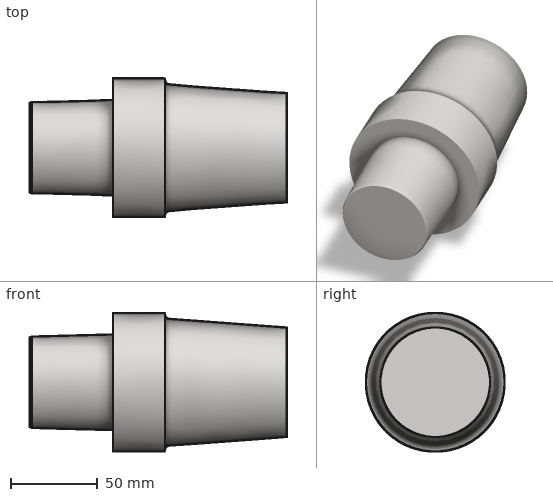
import cadquery as cq

total_length = 148.0
spigot_length = 48.0
spigot_land_length = 1.8
collar_length = 30.0
collar_end = spigot_length + collar_length
spigot_taper_end = spigot_length - spigot_land_length

spigot_tip_radius = 26.3
spigot_root_radius = 27.5
collar_radius = 40.0
nose_root_radius = 36.7
nose_tip_radius = 31.5

tip_chamfer_length = 1.5
tip_chamfer_depth = 0.7
collar_edge_fillet = 1.2
nose_root_fillet = 2.0

tolerance = 0.01


def turned_body():
    """Tapered spigot, collar and tapered nose, revolved about the X axis."""
    profile = (
        cq.Workplane("XZ")
        .moveTo(0, 0)
        .lineTo(0, spigot_tip_radius - tip_chamfer_depth)
        .lineTo(tip_chamfer_length, spigot_tip_radius)
        .lineTo(spigot_taper_end, spigot_root_radius)
        .lineTo(spigot_length, spigot_root_radius)
        .lineTo(spigot_length, collar_radius)
        .lineTo(collar_end, collar_radius)
        .lineTo(collar_end, nose_root_radius)
        .lineTo(total_length, nose_tip_radius)
        .lineTo(total_length, 0)
        .close()
    )
    return profile.revolve(360, (0, 0, 0), (1, 0, 0))


def round_circle(body, radius, fillet):
    """Fillet the circular edge that has the given radius and lies on the collar's rear face."""
    rear_edges = [
        edge
        for edge in body.edges("%CIRCLE").vals()
        if abs(edge.Center().x - collar_end) < tolerance and abs(edge.radius() - radius) < tolerance
    ]
    return body.newObject(rear_edges).fillet(fillet)


body = turned_body()
body = round_circle(body, nose_root_radius, nose_root_fillet)
result = round_circle(body, collar_radius, collar_edge_fillet)